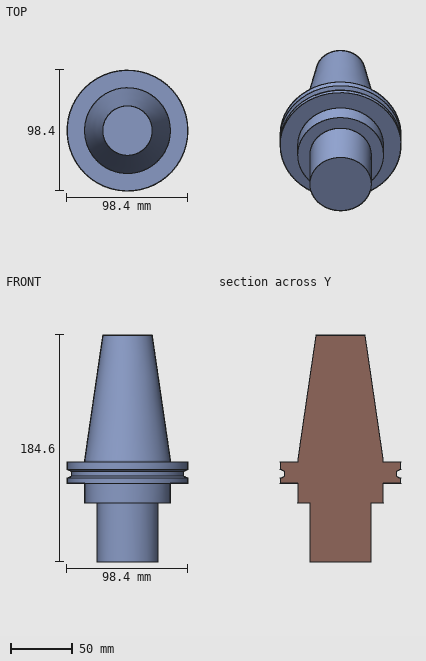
import cadquery as cq
import math


gauge_diameter = 69.85
taper_length = 101.6
taper_ratio = 7 / 24
taper_tip_diameter = gauge_diameter - taper_ratio * taper_length

flange_diameter = 98.43
flange_top = -1.5
flange_bottom = -19.05
groove_root_diameter = 91.29
groove_root_width = 3.8
groove_center = -11.2
groove_wall_angle = 25

collar_diameter = gauge_diameter
collar_bottom = -35.0
nose_diameter = 50.0
nose_bottom = -83.0


def cylinder(diameter, bottom, top):
    """Solid cylinder about Z between two heights."""
    return cq.Workplane("XY").workplane(offset=bottom).circle(diameter / 2).extrude(top - bottom)


def make_taper():
    """Cone that narrows upward from the gauge line."""
    base_radius = gauge_diameter / 2
    tip_radius = taper_tip_diameter / 2
    return cq.Workplane("XY").add(cq.Solid.makeCone(base_radius, tip_radius, taper_length))


def make_flange():
    """Disc with sloped groove walls leading to a flat groove root."""
    outer_radius = flange_diameter / 2
    root_radius = groove_root_diameter / 2
    wall_height = (outer_radius - root_radius) * math.tan(math.radians(groove_wall_angle))
    root_top = groove_center + groove_root_width / 2
    root_bottom = groove_center - groove_root_width / 2
    half_section = (
        cq.Workplane("XZ")
        .moveTo(0, flange_bottom)
        .lineTo(outer_radius, flange_bottom)
        .lineTo(outer_radius, root_bottom - wall_height)
        .lineTo(root_radius, root_bottom)
        .lineTo(root_radius, root_top)
        .lineTo(outer_radius, root_top + wall_height)
        .lineTo(outer_radius, flange_top)
        .lineTo(0, flange_top)
        .close()
    )
    return half_section.revolve(360, (0, 0, 0), (0, 1, 0))


neck = cylinder(gauge_diameter, flange_top, 0)
collar = cylinder(collar_diameter, collar_bottom, flange_bottom)
nose = cylinder(nose_diameter, nose_bottom, collar_bottom)

result = make_taper().union(neck).union(make_flange()).union(collar).union(nose)